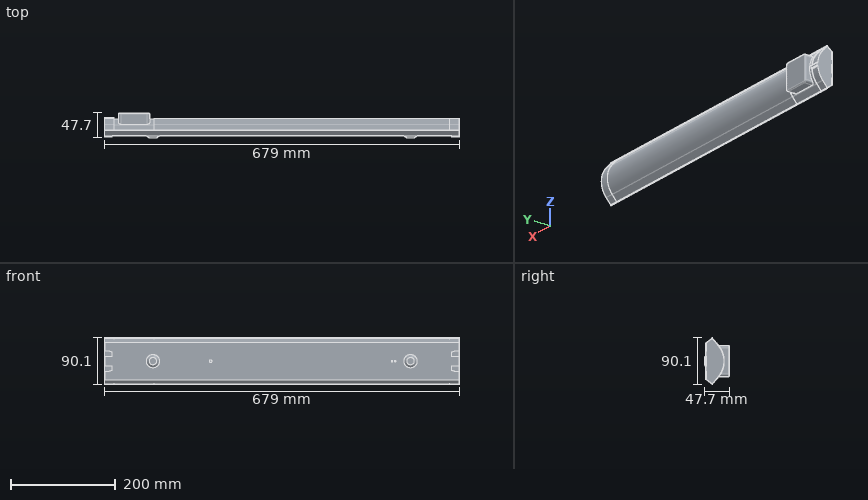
import cadquery as cq
import math

LENGTH = 679.0
HEIGHT = 90.06
DEPTH = 47.7

PANEL_Y = 0.0
KNOB_RISE = 4.1
LIP_RISE = 1.6
RIM_Y = 10.4
BEVEL_HEIGHT = 7.7
FIN_HEIGHT = 1.5
FIN_THICKNESS = 0.9
CREST_Y = 33.5
FLANK_ANGLE = 40.5
CREST_RADIUS = 48.0

CAP_LENGTH = 19.0
CAP_RISE = 0.3
RIB_RISE = 2.2
RIB_BASE_WIDTH = 8.0
RIB_TOP_WIDTH = 6.0
LIP_LENGTH = 1.2
RECESS_END = 95.0
RECESS_DEPTH = 0.6

TAB_REACH = 15.0
TAB_TAPER_START = 8.5
TAB_INNER_Z = 9.0
TAB_OUTER_Z = 19.5
TAB_TIP_Z = 17.5

BOX_START = 27.0
BOX_SIZE = 60.0
BOX_CORNER_RADIUS = 5.0
BOX_EDGE_RADIUS = 2.0

KNOB_POSITIONS = (93.0, 585.5)
KNOB_BASE_DIAMETER = 25.4
KNOB_TOP_DIAMETER = 14.0
HOLE_POSITION = 203.2
HOLE_DIAMETER = 5.0
PIN_HOLE_POSITIONS = (550.0, 556.0)
PIN_HOLE_DIAMETER = 2.5
HOLE_DEPTH = 3.0

RIM_Z = HEIGHT / 2
SHOULDER_Z = RIM_Z - FIN_HEIGHT
BACK_Y = DEPTH - KNOB_RISE


def body_section(start, length, front_y, crest_y):
    """Lens-shaped section: flat front, bevels, rim fins, flanks and a crest arc."""
    angle = math.radians(FLANK_ANGLE)
    tangent_z = CREST_RADIUS * math.sin(angle)
    tangent_y = crest_y - CREST_RADIUS * (1 - math.cos(angle))
    front_z = SHOULDER_Z - BEVEL_HEIGHT * (RIM_Y - front_y) / (RIM_Y - PANEL_Y)
    fin_back_y = RIM_Y + FIN_THICKNESS
    return (
        cq.Workplane("YZ", origin=(start, 0, 0))
        .moveTo(front_y, -front_z)
        .lineTo(RIM_Y, -SHOULDER_Z)
        .lineTo(RIM_Y, -RIM_Z)
        .lineTo(fin_back_y, -RIM_Z)
        .lineTo(fin_back_y, -SHOULDER_Z)
        .lineTo(tangent_y, -tangent_z)
        .threePointArc((crest_y, 0), (tangent_y, tangent_z))
        .lineTo(fin_back_y, SHOULDER_Z)
        .lineTo(fin_back_y, RIM_Z)
        .lineTo(RIM_Y, RIM_Z)
        .lineTo(RIM_Y, SHOULDER_Z)
        .lineTo(front_y, front_z)
        .close()
        .extrude(length)
    )


def housing():
    left_cap = body_section(0, CAP_LENGTH, PANEL_Y, CREST_Y + CAP_RISE)
    recess = body_section(CAP_LENGTH, RECESS_END - CAP_LENGTH, PANEL_Y, CREST_Y - RECESS_DEPTH)
    main = body_section(RECESS_END, LENGTH - CAP_LENGTH - RECESS_END, PANEL_Y, CREST_Y)
    right_cap = body_section(LENGTH - CAP_LENGTH, CAP_LENGTH, PANEL_Y, CREST_Y + CAP_RISE)
    shape = left_cap.union(recess).union(main).union(right_cap)
    for start in (0, LENGTH - LIP_LENGTH):
        shape = shape.union(body_section(start, LIP_LENGTH, -LIP_RISE, CREST_Y))
    return shape


def crest_rib():
    """Low flat-topped rib along the crest of the left cap, rooted inside the cap."""
    root_y = CREST_Y - RIB_RISE
    return (
        cq.Workplane("YZ")
        .moveTo(root_y, -RIB_BASE_WIDTH / 2)
        .lineTo(CREST_Y, -RIB_BASE_WIDTH / 2)
        .lineTo(CREST_Y + RIB_RISE, -RIB_TOP_WIDTH / 2)
        .lineTo(CREST_Y + RIB_RISE, RIB_TOP_WIDTH / 2)
        .lineTo(CREST_Y, RIB_BASE_WIDTH / 2)
        .lineTo(root_y, RIB_BASE_WIDTH / 2)
        .close()
        .extrude(CAP_LENGTH)
    )


def clip_tab():
    """Upper tab at the left end, tapering on its outer edge."""
    return (
        cq.Workplane("XZ", origin=(0, PANEL_Y, 0))
        .moveTo(0, TAB_INNER_Z)
        .lineTo(TAB_REACH, TAB_INNER_Z)
        .lineTo(TAB_REACH, TAB_TIP_Z)
        .lineTo(TAB_TAPER_START, TAB_OUTER_Z)
        .lineTo(0, TAB_OUTER_Z)
        .close()
        .extrude(LIP_RISE)
    )


def clip_tabs():
    upper = clip_tab()
    left_pair = upper.union(upper.mirror("XY"))
    right_pair = left_pair.mirror("YZ").translate((LENGTH, 0, 0))
    return left_pair.union(right_pair)


def mounting_box():
    return (
        cq.Workplane("XZ", origin=(BOX_START + BOX_SIZE / 2, BACK_Y, 0))
        .rect(BOX_SIZE, BOX_SIZE)
        .extrude(BACK_Y - RIM_Y)
        .edges("|Y")
        .fillet(BOX_CORNER_RADIUS)
        .faces(">Y")
        .edges()
        .fillet(BOX_EDGE_RADIUS)
    )


def knob(position):
    return (
        cq.Workplane("XZ", origin=(position, PANEL_Y, 0))
        .circle(KNOB_BASE_DIAMETER / 2)
        .workplane(offset=KNOB_RISE)
        .circle(KNOB_TOP_DIAMETER / 2)
        .loft()
    )


def front_hole(position, diameter):
    return (
        cq.Workplane("XZ", origin=(position, HOLE_DEPTH, 0))
        .circle(diameter / 2)
        .extrude(HOLE_DEPTH)
    )


result = housing().union(crest_rib()).union(clip_tabs()).union(mounting_box())
for knob_position in KNOB_POSITIONS:
    result = result.union(knob(knob_position))
result = result.cut(front_hole(HOLE_POSITION, HOLE_DIAMETER))
for pin_position in PIN_HOLE_POSITIONS:
    result = result.cut(front_hole(pin_position, PIN_HOLE_DIAMETER))